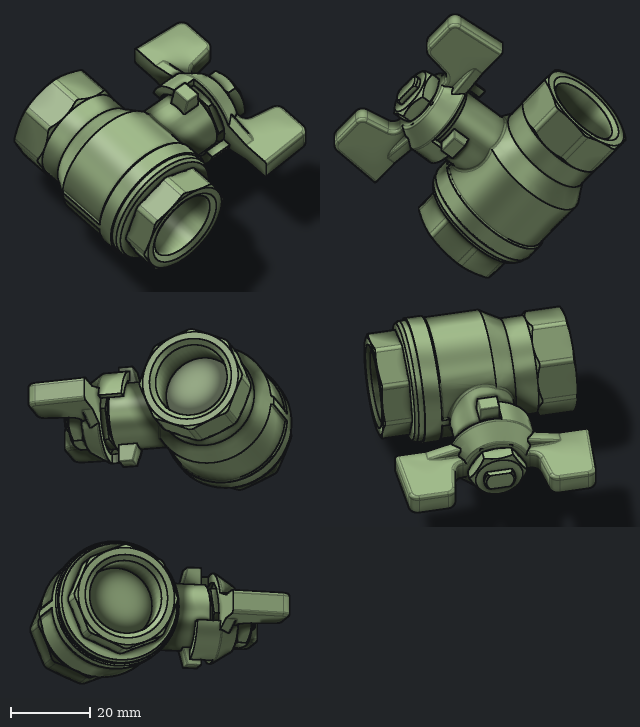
import cadquery as cq
import math

length = 50.0
handle_top = 43.0

octagon_flats = 25.0
octagon_corner = octagon_flats / 2 / math.cos(math.pi / 8)
octagon_edge_radius = 2.0
octagon_tip_radius = octagon_corner - octagon_edge_radius * (1 / math.cos(math.pi / 8) - 1)
left_octagon_end = 10.05
right_octagon_start = 42.65
octagon_end_chamfer = 0.35
octagon_face_radius = 12.45
octagon_neck_chamfer = 0.9

neck_radius = octagon_flats / 2
cone_start = 15.8
cone_end = 21.05
barrel_radius = 31.0 / 2
collar_radius = 32.0 / 2
collar_start = 35.5
collar_end = 39.8
cap_chamfer_start = 41.35
cap_face = 42.3
cap_face_radius = 14.9

rib_width = 2.0
rib_fillet = 0.4

bore_radius = 18.65 / 2
bore_mouth_radius = 10.7
bore_mouth_depth = 0.95
bore_depth = 11.55

stem_x = length / 2
stem_radius = 17.0 / 2
stem_top = 25.6
stem_fillet = 0.7
gland_neck_radius = 12.1 / 2
gland_start = 26.65
gland_flats = 13.9

lug_width = 5.1
lug_reach = 12.5
lug_top = 24.65
lug_tip_bottom = 20.95
lug_root_bottom = 19.7
lug_fillet = 0.25
lug_embed = 0.6

handle_bottom = 27.6
hub_top = 33.1
hub_radius = 11.45
hub_rim_top = 28.1
hub_rim_fillet = 0.75
hub_top_radius = 8.25
hub_top_fillet = 0.9
skirt_inner_radius = 9.1
hub_recess_top = handle_bottom + 0.95
skirt_bottom = 21.65

wing_thickness = 6.0
wing_edge_fillet = 0.9
wing_corner_radius = 2.35
wing_root_radius = 2.35
wing_outer_lean = 1.05
wing_tip_width = 11.55
wing_inner_lean = 1.75
pad_reach = 17.1
pad_top = 30.7
pad_top_fillet = 0.7
pad_root_fillet = 0.4
pad_hub_width = 10.6

nut_flats = 13.0
nut_top = 37.05
nut_top_face_radius = 6.1
nut_top_chamfer_angle = 35
nut_base_face_radius = 6.3
nut_base_chamfer_angle = 30
stud_radius = 8.0 / 2
stud_top = 38.45
stud_chamfer = 0.5
stud_flats = 4.9


def turned_x(points):
    """Revolve (x, radius) points about the flow axis."""
    return cq.Workplane("XY").polyline(points).close().revolve(360, (0, 0, 0), (1, 0, 0))


def turned_y(points):
    """Revolve (radius, y) points about the stem axis."""
    profile = cq.Workplane("XY", origin=(stem_x, 0, 0)).polyline(points).close()
    return profile.revolve(360, (0, 0, 0), (0, 1, 0))


def stem_cylinder(radius, bottom, top):
    return turned_y([(0, bottom), (radius, bottom), (radius, top), (0, top)])


def stem_hexagon(flats, bottom, top):
    """Hexagonal prism on the stem axis with corners toward -X and +X."""
    corners = flats / math.cos(math.pi / 6)
    plane = cq.Workplane("XZ", origin=(stem_x, bottom, 0))
    return plane.polygon(6, corners).extrude(bottom - top)


def edge_box(low, high, slack=0.3):
    """Select edges whose middle lies between two corners."""
    low = tuple(value - slack for value in low)
    high = tuple(value + slack for value in high)
    return cq.selectors.BoxSelector(low, high)


def octagon_prism(start, end):
    plane = cq.Workplane("YZ", origin=(start, 0, 0))
    prism = plane.polygon(8, 2 * octagon_corner).extrude(end - start)
    return prism.edges("|X").fillet(octagon_edge_radius)


def octagon_ends():
    """Both wrench octagons, chamfered at the open ends and the left one also at the neck."""
    envelope = turned_x([
        (0, 0),
        (0, octagon_face_radius),
        (octagon_end_chamfer, octagon_tip_radius),
        (left_octagon_end - octagon_neck_chamfer, octagon_tip_radius),
        (left_octagon_end, octagon_tip_radius - octagon_neck_chamfer),
        (right_octagon_start - octagon_neck_chamfer, octagon_tip_radius),
        (length - octagon_end_chamfer, octagon_tip_radius),
        (length, octagon_face_radius),
        (length, 0),
    ])
    left = octagon_prism(0, left_octagon_end)
    right = octagon_prism(right_octagon_start, length)
    return left.union(right).intersect(envelope)


def barrel():
    """Turned neck, cone, barrel, collar and chamfered cap."""
    left_overlap = left_octagon_end - octagon_neck_chamfer
    return turned_x([
        (left_overlap, 0),
        (left_overlap, neck_radius),
        (cone_start, neck_radius),
        (cone_end, barrel_radius),
        (collar_start, barrel_radius),
        (collar_start, collar_radius),
        (collar_end, collar_radius),
        (collar_end, barrel_radius),
        (cap_chamfer_start, barrel_radius),
        (cap_face, cap_face_radius),
        (right_octagon_start, octagon_flats / 2),
        (right_octagon_start, 0),
    ])


def rib():
    """Strip along -Y that runs from the cone to the collar."""
    cone_slope = (barrel_radius - neck_radius) / (cone_end - cone_start)
    rib_start = cone_end + (collar_radius - barrel_radius) / cone_slope
    ring = turned_x([
        (cone_start, 0),
        (cone_start, neck_radius),
        (rib_start, collar_radius),
        (collar_start, collar_radius),
        (collar_start, 0),
    ])
    strip = cq.Workplane("XY").box(length, collar_radius, rib_width, centered=(False, False, True))
    return ring.intersect(strip.translate((0, -collar_radius, 0)))


def ribbed_barrel():
    """Barrel and rib with rounded inside corners along the rib and the collar step."""
    shape = barrel().union(rib())
    root_y = -math.sqrt(barrel_radius**2 - (rib_width / 2) ** 2)
    root_box = edge_box((cone_end, root_y, -rib_width), (collar_start, root_y, rib_width))
    reach = collar_radius
    step_box = edge_box((collar_start, -reach, -reach), (collar_start, reach, reach))
    rib_roots = shape.edges("|X").edges(root_box)
    step_root = shape.edges(step_box).edges("%CIRCLE").edges(cq.selectors.RadiusNthSelector(0))
    return rib_roots.add(step_root).fillet(rib_fillet)


def upper_rib(barrel_shape):
    """Mirror the lower rib, with its rounded roots, between the stem and the collar."""
    width = rib_width + 4 * rib_fillet
    block = cq.Workplane("XY").box(collar_end - stem_x, handle_top, width, centered=(False, False, True))
    return barrel_shape.mirror("XZ").intersect(block.translate((stem_x, 0, 0)))


def add_stem(barrel_shape):
    """Join the stem to the barrel with a rounded inside corner."""
    shape = barrel_shape.union(stem_cylinder(stem_radius, 0, stem_top))
    reach = stem_radius
    joint = edge_box((stem_x - reach, neck_radius, -reach), (stem_x + reach, collar_radius, reach))
    return shape.edges("%BSPLINE").edges(joint).fillet(stem_fillet)


def bore():
    """Blind bore of the left end with a conical mouth."""
    return turned_x([
        (0, 0),
        (0, bore_mouth_radius),
        (bore_mouth_depth, bore_radius),
        (bore_depth, bore_radius),
        (bore_depth, 0),
    ])


def stop_lug():
    """Lug on the +Z side with a sloping underside."""
    outline = [
        (lug_top, 0),
        (lug_top, lug_reach),
        (lug_tip_bottom, lug_reach),
        (lug_root_bottom, stem_radius - lug_embed),
        (lug_root_bottom, 0),
    ]
    plane = cq.Workplane("YZ", origin=(stem_x - lug_width / 2, 0, 0))
    lug = plane.polyline(outline).close().extrude(lug_width)
    return lug.edges("not <Z").fillet(lug_fillet)


def hub():
    """Conical cap that carries the wings and the skirt."""
    cone = turned_y([
        (0, handle_bottom),
        (hub_radius, handle_bottom),
        (hub_radius, hub_rim_top),
        (hub_top_radius, hub_top),
        (0, hub_top),
    ])
    cone = cone.faces(">Y").edges().fillet(hub_top_fillet)
    rim = cq.selectors.NearestToPointSelector((stem_x, hub_rim_top, 0))
    return cone.edges("%CIRCLE").edges(rim).fillet(hub_rim_fillet)


def skirt():
    """Two opposite skirt quadrants that stop against the lugs."""
    ring = stem_cylinder(hub_radius, skirt_bottom, handle_bottom)
    ring = ring.cut(stem_cylinder(skirt_inner_radius, skirt_bottom, handle_bottom))
    half = lug_width / 2
    quadrant = cq.Workplane("XY").box(hub_radius, handle_top, hub_radius, centered=False)
    left = quadrant.translate((stem_x - half - hub_radius, 0, half))
    right = quadrant.translate((stem_x + half, 0, -half - hub_radius))
    return ring.intersect(left.union(right))


def wing():
    """Left wing, from its outer edge to the stem axis."""
    tip_inner = wing_outer_lean + wing_tip_width
    plate = (
        cq.Workplane("XY", origin=(0, 0, -wing_thickness / 2))
        .moveTo(0, handle_bottom)
        .lineTo(wing_outer_lean, handle_top)
        .lineTo(tip_inner, handle_top)
        .lineTo(tip_inner + wing_inner_lean, hub_top)
        .lineTo(stem_x, hub_top)
        .lineTo(stem_x, handle_bottom)
        .close()
        .extrude(wing_thickness)
    )
    plate = plate.edges("|Z and >Y").fillet(wing_corner_radius)
    root = cq.selectors.NearestToPointSelector((tip_inner + wing_inner_lean, hub_top, 0))
    plate = plate.edges("|Z").edges(root).fillet(wing_root_radius)
    return plate.faces(">Z or <Z").edges("not(<Y or >X)").fillet(wing_edge_fillet)


def pad():
    """Wedge that widens the foot of the left wing toward the hub."""
    outline = [
        (stem_x - pad_reach, -wing_thickness / 2),
        (stem_x - pad_reach, wing_thickness / 2),
        (stem_x - hub_top_radius, pad_hub_width / 2),
        (stem_x - hub_top_radius, -pad_hub_width / 2),
    ]
    plane = cq.Workplane("XZ", origin=(0, handle_bottom, 0))
    wedge = plane.polyline(outline).close().extrude(handle_bottom - pad_top)
    return wedge.faces(">Y").edges("not |Z").fillet(pad_top_fillet)


def padded_wing():
    """Left wing and pad with a rounded inside corner along the top of the pad."""
    shape = wing().union(pad())
    half = wing_thickness / 2
    joint = edge_box((0, pad_top, -half), (stem_x, pad_top, half), slack=0.05)
    return shape.edges("|X").edges(joint).fillet(pad_root_fillet)


def nut():
    """Hexagon nut with its corners chamfered above and below."""
    corner = nut_flats / 2 / math.cos(math.pi / 6)
    base_rise = (corner - nut_base_face_radius) * math.tan(math.radians(nut_base_chamfer_angle))
    top_drop = (corner - nut_top_face_radius) * math.tan(math.radians(nut_top_chamfer_angle))
    envelope = turned_y([
        (0, hub_top),
        (nut_base_face_radius, hub_top),
        (corner, hub_top + base_rise),
        (corner, nut_top - top_drop),
        (nut_top_face_radius, nut_top),
        (0, nut_top),
    ])
    return stem_hexagon(nut_flats, hub_top, nut_top).intersect(envelope)


def stud():
    """Threaded stem end with two flats facing -Z and +Z."""
    pin = stem_cylinder(stud_radius, hub_top, stud_top).faces(">Y").edges().chamfer(stud_chamfer)
    slab = cq.Workplane("XY").box(length, handle_top, stud_flats, centered=(False, False, True))
    return pin.intersect(slab)


lower_ribbed_barrel = ribbed_barrel()
body = add_stem(lower_ribbed_barrel)
body = body.union(upper_rib(lower_ribbed_barrel))
body = body.union(octagon_ends())
body = body.cut(bore()).cut(bore().mirror("YZ").translate((length, 0, 0)))

lug = stop_lug()
body = body.union(lug).union(lug.mirror("XY"))
body = body.union(stem_cylinder(gland_neck_radius, stem_top, gland_start))
body = body.union(stem_hexagon(gland_flats, gland_start, hub_top))

left_wing = padded_wing()
right_wing = left_wing.mirror("YZ").translate((length, 0, 0))
handle = hub().union(skirt()).union(left_wing).union(right_wing)
handle = handle.cut(stem_cylinder(skirt_inner_radius, handle_bottom, hub_recess_top))

result = body.union(handle).union(nut()).union(stud())